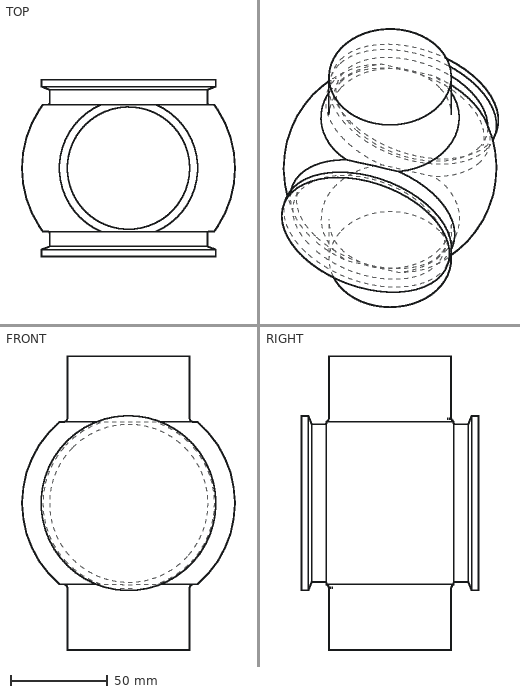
import cadquery as cq

body_diameter = 111.0
body_height = 84.5
body_depth = 66.2
pipe_diameter = 63.7
pipe_length = 153.2
pipe_root_fillet = 2.0
neck_diameter = 82.4
neck_root_fillet = 0.6
flange_diameter = 91.0
flange_span = 92.2
flange_rim = 3.7
flange_taper = 1.7


def make_body():
    """Ball with flats cut on its Y and Z sides."""
    ball = cq.Workplane("XY").sphere(body_diameter / 2)
    envelope = cq.Workplane("XY").box(body_diameter * 2, body_depth, body_height)
    return ball.intersect(envelope)


def make_pipe():
    """Plain vertical pipe stub, flared by a fillet where it meets the upper flat."""
    pipe_radius = pipe_diameter / 2
    root_z = body_height / 2
    profile = (
        cq.Workplane("XZ")
        .lineTo(pipe_radius + pipe_root_fillet, 0)
        .lineTo(pipe_radius + pipe_root_fillet, root_z)
        .radiusArc((pipe_radius, root_z + pipe_root_fillet), pipe_root_fillet)
        .lineTo(pipe_radius, pipe_length / 2)
        .lineTo(0, pipe_length / 2)
        .close()
    )
    trim = cq.Workplane("XY").box(body_diameter, body_depth, pipe_length)
    return profile.revolve(360, (0, 0), (0, 1)).intersect(trim)


def make_flanged_neck():
    """Neck along +Y with a filleted root, ending in a clamp flange with a tapered back."""
    neck_radius = neck_diameter / 2
    root_y = body_depth / 2
    flange_radius = flange_diameter / 2
    face_y = flange_span / 2
    rim_y = face_y - flange_rim
    return (
        cq.Workplane("XY")
        .lineTo(neck_radius + neck_root_fillet, 0)
        .lineTo(neck_radius + neck_root_fillet, root_y)
        .radiusArc((neck_radius, root_y + neck_root_fillet), neck_root_fillet)
        .lineTo(neck_radius, rim_y - flange_taper)
        .lineTo(flange_radius, rim_y)
        .lineTo(flange_radius, face_y)
        .lineTo(0, face_y)
        .close()
        .revolve(360, (0, 0), (0, 1))
    )


result = make_body()
for branch, mirror_plane in ((make_pipe(), "XY"), (make_flanged_neck(), "XZ")):
    result = result.union(branch).union(branch.mirror(mirror_plane))